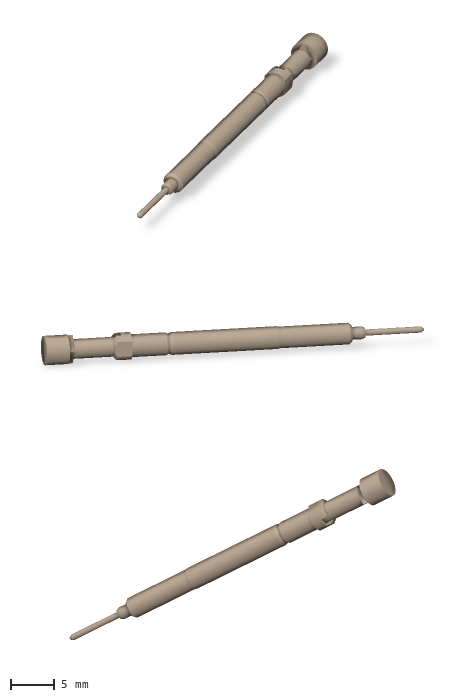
import cadquery as cq

LENGTH = 44.8
HALF_LENGTH = LENGTH / 2

HEAD_DIAMETER = 3.4
HEAD_RADIUS = HEAD_DIAMETER / 2
HEAD_END = 2.75
KEY_END = 3.4
NECK_DIAMETER = 2.3
NECK_RADIUS = NECK_DIAMETER / 2
KEY_HALF_WIDTH = 1.1

COLLAR_DIAMETER = 3.2
COLLAR_RADIUS = COLLAR_DIAMETER / 2
COLLAR_START = 8.1
COLLAR_END = 10.15
COLLAR_CHAMFER = 0.3
COLLAR_FLAT_WIDTH = 2.65
KEYWAY_END = 9.0
KEYWAY_WIDTH = 1.15

BARREL_DIAMETER = 2.65
BARREL_RADIUS = BARREL_DIAMETER / 2
GROOVE_START = 14.35
GROOVE_BOTTOM = 14.65
GROOVE_END = 15.0
GROOVE_RADIUS = 1.15
TAPER_START = 27.4
TAPER_END = 27.8
REAR_DIAMETER = 2.5
REAR_RADIUS = REAR_DIAMETER / 2
REAR_END = 36.25
REAR_CHAMFER_LENGTH = 0.3
REAR_CHAMFER_DEPTH = 0.25

POST_DIAMETER = 1.5
POST_RADIUS = POST_DIAMETER / 2
POST_END = 37.8
POST_CHAMFER_LENGTH = 0.35
POST_CHAMFER_DEPTH = 0.15
NEEDLE_RADIUS = 0.35
POINT_LENGTH = 0.35
TIP_RADIUS = 0.15


def section_plane(station):
    """Plane across the axis at a station, extruding towards the needle tip."""
    return cq.Plane(origin=(0, HALF_LENGTH - station, 0), xDir=(1, 0, 0), normal=(0, -1, 0))


def cylinder(radius, start, end):
    return cq.Workplane(section_plane(start)).circle(radius).extrude(end - start)


def centred_block(width, start, end):
    """Block centred on the axis, as tall as the collar."""
    return cq.Workplane(section_plane(start)).rect(width, 2 * COLLAR_RADIUS).extrude(end - start)


def turned(profile):
    """Solid of revolution about Y from (radius, station) points."""
    outline = [(radius, HALF_LENGTH - station) for radius, station in profile]
    return cq.Workplane("XY").polyline(outline).close().revolve(360, (0, 0, 0), (0, 1, 0))


def make_key():
    """Rhombic section under the head, its long diagonal as tall as the head."""
    corners = [
        (KEY_HALF_WIDTH, 0),
        (0, HEAD_RADIUS),
        (-KEY_HALF_WIDTH, 0),
        (0, -HEAD_RADIUS),
    ]
    return cq.Workplane(section_plane(HEAD_END)).polyline(corners).close().extrude(KEY_END - HEAD_END)


def make_collar():
    """Round collar, chamfered towards the neck, with side flats and keyways down to the neck."""
    profile = [
        (0, COLLAR_START),
        (COLLAR_RADIUS - COLLAR_CHAMFER, COLLAR_START),
        (COLLAR_RADIUS, COLLAR_START + COLLAR_CHAMFER),
        (COLLAR_RADIUS, COLLAR_END),
        (0, COLLAR_END),
    ]
    flats = centred_block(COLLAR_FLAT_WIDTH, COLLAR_START, COLLAR_END)
    keyways = centred_block(KEYWAY_WIDTH, COLLAR_START, KEYWAY_END)
    return turned(profile).intersect(flats).cut(keyways)


def make_barrel_and_needle():
    """Turned part behind the collar, revolved from its half profile."""
    profile = [
        (0, COLLAR_END),
        (BARREL_RADIUS, COLLAR_END),
        (BARREL_RADIUS, GROOVE_START),
        (GROOVE_RADIUS, GROOVE_BOTTOM),
        (BARREL_RADIUS, GROOVE_END),
        (BARREL_RADIUS, TAPER_START),
        (REAR_RADIUS, TAPER_END),
        (REAR_RADIUS, REAR_END - REAR_CHAMFER_LENGTH),
        (REAR_RADIUS - REAR_CHAMFER_DEPTH, REAR_END),
        (POST_RADIUS, REAR_END),
        (POST_RADIUS, POST_END - POST_CHAMFER_LENGTH),
        (POST_RADIUS - POST_CHAMFER_DEPTH, POST_END),
        (NEEDLE_RADIUS, POST_END),
        (NEEDLE_RADIUS, LENGTH - POINT_LENGTH),
        (TIP_RADIUS, LENGTH),
        (0, LENGTH),
    ]
    return turned(profile)


result = (
    cylinder(HEAD_RADIUS, 0, HEAD_END)
    .union(make_key())
    .union(make_collar())
    .union(cylinder(NECK_RADIUS, KEY_END, COLLAR_END))
    .union(make_barrel_and_needle())
)